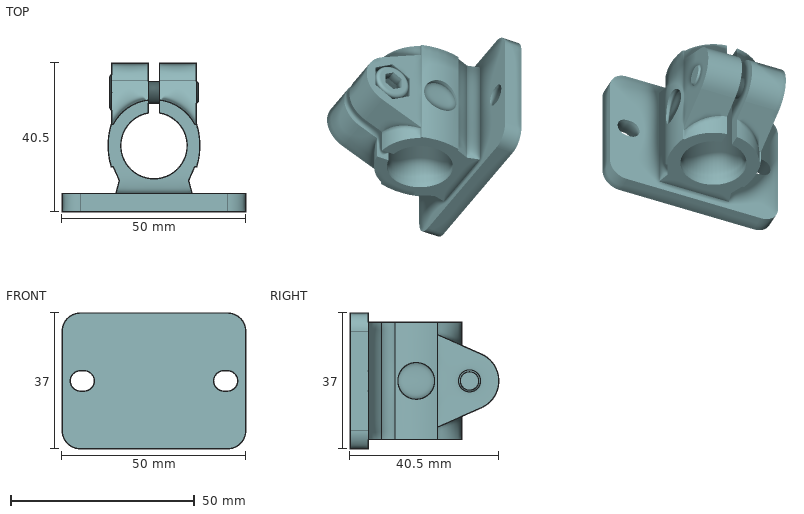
import cadquery as cq
import math

plate_width = 50.0
plate_height = 37.0
plate_thickness = 5.0
plate_corner_radius = 5.0
mount_slot_length = 6.5
mount_slot_height = 5.5
mount_slot_offset = 19.5

ring_y = 18.0
ring_radius = 12.5
bore_diameter = 18.0
ring_height = 32.0
split_width = 3.0

swell_half_length = 5.75
swell_edge_x = 11.65
side_pocket_diameter = 10.0
side_pocket_floor_x = 11.0

foot_base_half_width = 10.4
foot_neck_half_width = 9.45
foot_neck_y = 8.5

bolt_y = 32.5
lug_radius = 8.0
lug_half_width = 11.55
lug_root_y = ring_y + swell_half_length
lug_root_half_height = 12.6

bolt_diameter = 6.0
bolt_protrusion = 0.5
bolt_end_chamfer = 0.5
head_diameter = 10.0
head_fillet = 1.0
hex_recess_flats = 10.5
hex_recess_depth = 2.5
socket_flats = 5.0
socket_depth = 4.0

bolt_end_x = lug_half_width + bolt_protrusion


def hexagon_diameter(across_flats):
    return across_flats / math.cos(math.pi / 6)


def cylinder_along_x(diameter, start_x, end_x, y):
    return (
        cq.Workplane("YZ", origin=(start_x, y, 0))
        .circle(diameter / 2)
        .extrude(end_x - start_x)
    )


def hexagon_along_x(across_flats, start_x, end_x):
    """Hexagonal prism on the bolt axis with corners pointing up and down."""
    return (
        cq.Workplane("YZ", origin=(start_x, bolt_y, 0))
        .transformed(rotate=(0, 0, 90))
        .polygon(6, hexagon_diameter(across_flats))
        .extrude(end_x - start_x)
    )


def make_plate():
    plate = (
        cq.Workplane("XY")
        .box(plate_width, plate_thickness, plate_height)
        .translate((0, plate_thickness / 2, 0))
        .edges("|Y")
        .fillet(plate_corner_radius)
    )
    slots = (
        cq.Workplane("XZ")
        .pushPoints([(-mount_slot_offset, 0), (mount_slot_offset, 0)])
        .slot2D(mount_slot_length, mount_slot_height)
        .extrude(-plate_thickness)
    )
    return plate.cut(slots)


def make_ring_and_foot():
    base = cq.Workplane("XY", origin=(0, 0, -ring_height / 2))
    swell_low_y = ring_y - swell_half_length
    swell_high_y = ring_y + swell_half_length
    swell_root_x = math.sqrt(ring_radius**2 - swell_half_length**2)

    ring = base.center(0, ring_y).circle(ring_radius).extrude(ring_height)
    swells = (
        base.moveTo(-swell_edge_x, swell_low_y)
        .lineTo(swell_edge_x, swell_low_y)
        .threePointArc((ring_radius, ring_y), (swell_edge_x, swell_high_y))
        .lineTo(-swell_edge_x, swell_high_y)
        .threePointArc((-ring_radius, ring_y), (-swell_edge_x, swell_low_y))
        .close()
        .extrude(ring_height)
    )
    foot = (
        base.polyline([
            (-foot_base_half_width, plate_thickness),
            (foot_base_half_width, plate_thickness),
            (foot_neck_half_width, foot_neck_y),
            (swell_root_x, swell_low_y),
            (-swell_root_x, swell_low_y),
            (-foot_neck_half_width, foot_neck_y),
        ])
        .close()
        .extrude(ring_height)
    )
    return ring.union(swells).union(foot)


def make_lugs():
    """Both lugs as one block; flanks run tangent from the root to the round nose."""
    root_distance = math.hypot(bolt_y - lug_root_y, lug_root_half_height)
    root_angle = math.atan2(lug_root_half_height, lug_root_y - bolt_y)
    tangent_angle = root_angle - math.acos(lug_radius / root_distance)
    tangent_y = bolt_y + lug_radius * math.cos(tangent_angle)
    tangent_z = lug_radius * math.sin(tangent_angle)
    return (
        cq.Workplane("YZ", origin=(-lug_half_width, 0, 0))
        .moveTo(lug_root_y, -lug_root_half_height)
        .lineTo(tangent_y, -tangent_z)
        .threePointArc((bolt_y + lug_radius, 0), (tangent_y, tangent_z))
        .lineTo(lug_root_y, lug_root_half_height)
        .close()
        .extrude(2 * lug_half_width)
    )


def make_bolt():
    head_seat_x = -lug_half_width + hex_recess_depth
    head = (
        cylinder_along_x(head_diameter, -bolt_end_x, head_seat_x, bolt_y)
        .faces("<X")
        .edges()
        .fillet(head_fillet)
    )
    shank = (
        cylinder_along_x(bolt_diameter, head_seat_x, bolt_end_x, bolt_y)
        .faces(">X")
        .chamfer(bolt_end_chamfer)
    )
    socket = hexagon_along_x(socket_flats, -bolt_end_x, -bolt_end_x + socket_depth)
    return head.union(shank).cut(socket)


def make_clamp():
    clamp = make_ring_and_foot().union(make_lugs())
    bore = (
        cq.Workplane("XY", origin=(0, ring_y, -ring_height / 2))
        .circle(bore_diameter / 2)
        .extrude(ring_height)
    )
    split_length = bolt_y + lug_radius - ring_y
    split = (
        cq.Workplane("XY")
        .box(split_width, split_length, ring_height)
        .translate((0, ring_y + split_length / 2, 0))
    )
    clamp = clamp.cut(bore).cut(split)
    for inner_x, outer_x in (
        (-side_pocket_floor_x, -ring_radius),
        (side_pocket_floor_x, ring_radius),
    ):
        clamp = clamp.cut(cylinder_along_x(side_pocket_diameter, inner_x, outer_x, ring_y))
    hex_recess = hexagon_along_x(
        hex_recess_flats, -lug_half_width, -lug_half_width + hex_recess_depth
    )
    return clamp.cut(hex_recess)


result = make_plate().union(make_clamp()).union(make_bolt())